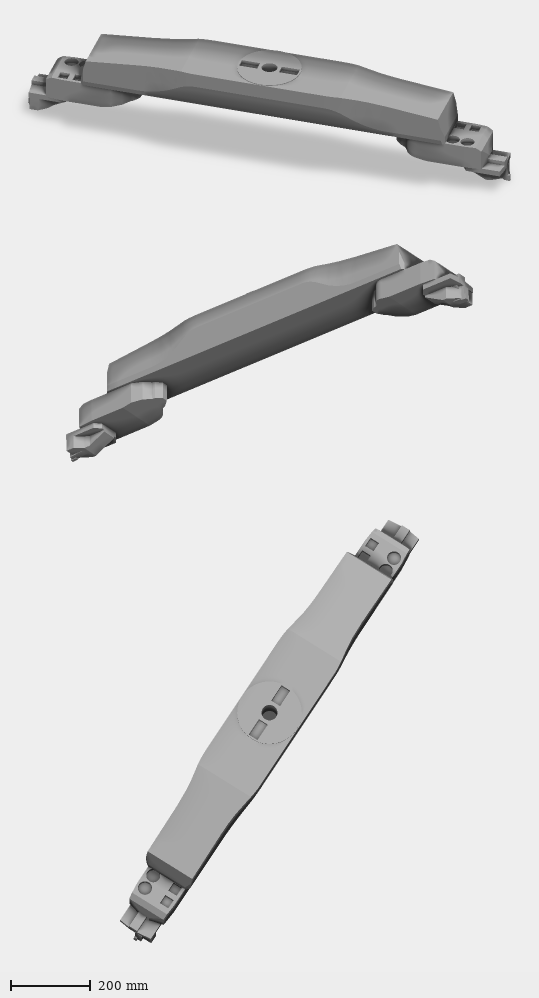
import cadquery as cq
import math


overall_length = 1259.97
overall_height = 219.83
bridge_width = 164.0
tip_x = overall_length / 2
tip_z = -overall_height

bridge_depth = 102.5
bridge_side_height = 39.0
bridge_base_width = 124.0
bridge_end_width = 132.8
bend_start_x = 168.5
bend_end_x = 326.0
bend_share = 1 / 3
ramp_start_x = 208.7
ramp_drop = 27.3
end_top_x = 461.5
end_base_x = 476.8
end_base_height = 19.5
corner_cut_x = 8.0
corner_cut_y = 11.0

spigot_diameter = 162.0
spigot_height = 2.0
bridge_top = -spigot_height
bore_diameter = 40.0
bore_depth = 60.0
key_slot_width = 26.0
key_slot_inner_x = 28.5
key_slot_outer_x = 76.0
key_slot_depth = 10.0

slide_top = -bridge_depth
slide_base = -164.0
slide_half_width = 54.8
slide_inner_x = 335.8
slide_neck_x = 400.0
slide_taper_start_x = 527.5
slide_taper_x = 536.0
slide_taper_y = 54.0
slide_corner_x = 570.0
slide_corner_y = 51.0
slide_nose_x = 583.0
slide_edge_x = 556.0
slide_brow_x = 571.0
slide_brow_drop = 9.0
slide_brow_z = slide_top - slide_brow_drop
slide_nose_z = -154.0
slide_ramp_x = 427.0
slide_inner_z = -148.0
neck_steps = ((373.0, 43.0), (356.0, 26.0), (349.0, 23.0))
neck_end_half_width = 8.0
bulge_mid = (382.0, -49.0)
bulge_end = (371.0, -36.0)
hollow_mid = (364.0, -27.0)
hollow_end = (353.0, -22.0)
neck_chamfer_start = (345.0, -16.0)

notch_inner_x = 560.0
notch_min_y = -18.0
notch_max_y = 13.5
notch_top = -144.5

pocket_x = (490.0, 528.5)
screw_pocket_diameter = 35.0
screw_pocket_y = -31.3
screw_pocket_depth = 14.0
square_pocket_size = 25.0
square_pocket_y = 34.0
square_pocket_depth = 12.0

plate_inner_x = 515.0
plate_inner_half_width = 28.0
plate_full_width_x = 530.0
plate_outer_x = 618.0
plate_crown = 4.0
plate_min_y = -47.5
plate_max_y = 43.5
plate_base = -178.5
rib_max_y = 5.5
rib_top = -152.0
body_base = -213.0
body_min_y = -21.0
body_max_y = 19.0
wedge_inner_z = -183.0
wedge_foot_x = 573.0
gullet_start_x = 583.0
gullet_roof_x = 610.0
gullet_roof_y = -13.0
gullet_roof_z = -190.5
shoulder_outer_x = 616.0
shoulder_inner_x = 594.0
shoulder_max_y = 43.5
shoulder_root_x = 561.0
shoulder_bend_y = 26.0
core_top_x = 622.0
core_base_x = 625.0
core_base = -217.0

insert_edge = 16.0
insert_thickness = 8.0
insert_relief = math.radians(5.0)
screw_diameter = 4.7
screw_length = 12.0


def prism_along_y(points, y_min, y_max):
    """Extrude an (x, z) outline from y_min to y_max."""
    plane = cq.Workplane("XZ", origin=(0, y_max, 0))
    return plane.polyline(points).close().extrude(y_max - y_min)


def prism_along_z(points, z_min, z_max):
    """Extrude an (x, y) outline from z_min to z_max."""
    plane = cq.Workplane("XY", origin=(0, 0, z_min))
    return plane.polyline(points).close().extrude(z_max - z_min)


def other_end(body):
    return body.rotate((0, 0, 0), (0, 0, 1), 180)


def block(x_min, x_max, y_min, y_max, z_min, z_max):
    size = (x_max - x_min, y_max - y_min, z_max - z_min)
    return cq.Workplane("XY").box(*size, centered=False).translate((x_min, y_min, z_min))


def bend_mid(x_tangent, y_tangent, run, rise):
    """Middle point of an arc that starts level and covers the given run and rise."""
    half_angle = math.atan2(abs(rise), abs(run))
    radius = (run ** 2 + rise ** 2) / (2 * abs(rise))
    dx = math.copysign(radius * math.sin(half_angle), run)
    dy = math.copysign(radius * (1 - math.cos(half_angle)), rise)
    return x_tangent + dx, y_tangent + dy


def make_bridge():
    half_wide = bridge_width / 2
    half_narrow = bridge_end_width / 2
    run = bend_end_x - bend_start_x
    drop = half_wide - half_narrow
    joint = (bend_start_x + bend_share * run, half_wide - bend_share * drop)
    convex_mid = bend_mid(bend_start_x, half_wide, bend_share * run, -bend_share * drop)
    concave_mid = bend_mid(
        bend_end_x, half_narrow, -(1 - bend_share) * run, (1 - bend_share) * drop
    )

    quarter_plan = (
        cq.Workplane("XY", origin=(0, 0, -bridge_depth))
        .moveTo(0, 0)
        .lineTo(0, half_wide)
        .lineTo(bend_start_x, half_wide)
        .threePointArc(convex_mid, joint)
        .threePointArc(concave_mid, (bend_end_x, half_narrow))
        .lineTo(end_base_x - corner_cut_x, half_narrow)
        .lineTo(end_base_x, half_narrow - corner_cut_y)
        .lineTo(end_base_x, 0)
        .close()
        .extrude(bridge_depth - spigot_height)
    )
    half_plan = quarter_plan.union(quarter_plan.mirror("XZ"))
    plan = half_plan.union(half_plan.mirror("YZ"))

    right_side = [
        (ramp_start_x, bridge_top),
        (end_top_x, -ramp_drop),
        (end_base_x, end_base_height - bridge_depth),
        (end_base_x, -bridge_depth),
    ]
    left_side = [(-x, z) for x, z in reversed(right_side)]
    side = prism_along_y(right_side + left_side, -half_wide, half_wide)

    half_base = bridge_base_width / 2
    section = (
        cq.Workplane("YZ", origin=(-end_base_x, 0, 0))
        .moveTo(-half_wide, bridge_top)
        .lineTo(half_wide, bridge_top)
        .lineTo(half_wide, -bridge_side_height)
        .lineTo(half_base, -bridge_depth)
        .lineTo(-half_base, -bridge_depth)
        .lineTo(-half_wide, -bridge_side_height)
        .close()
        .extrude(2 * end_base_x)
    )
    bridge = plan.intersect(side).intersect(section)

    spigot = cq.Workplane("XY").circle(spigot_diameter / 2).extrude(-spigot_height)
    bridge = bridge.union(spigot)
    bridge = bridge.cut(cq.Workplane("XY").circle(bore_diameter / 2).extrude(-bore_depth))
    half_slot = key_slot_width / 2
    slot = block(
        key_slot_inner_x, key_slot_outer_x, -half_slot, half_slot, -key_slot_depth, 0
    )
    return bridge.cut(slot).cut(other_end(slot))


def make_slide():
    plan = (
        cq.Workplane("XY", origin=(0, 0, slide_base))
        .moveTo(slide_nose_x, 0)
        .lineTo(slide_corner_x, slide_corner_y)
        .lineTo(slide_taper_x, slide_taper_y)
        .lineTo(slide_taper_start_x, slide_half_width)
        .lineTo(slide_neck_x, slide_half_width)
    )
    for neck_point in neck_steps:
        plan = plan.lineTo(*neck_point)
    plan = (
        plan.lineTo(slide_inner_x, neck_end_half_width)
        .lineTo(slide_inner_x, -neck_end_half_width)
        .lineTo(*neck_chamfer_start)
        .lineTo(*hollow_end)
        .threePointArc(hollow_mid, bulge_end)
        .threePointArc(bulge_mid, (slide_neck_x, -slide_half_width))
        .lineTo(slide_taper_start_x, -slide_half_width)
        .lineTo(slide_taper_x, -slide_taper_y)
        .lineTo(slide_corner_x, -slide_corner_y)
        .close()
        .extrude(slide_top - slide_base)
    )
    side = prism_along_y(
        [
            (slide_inner_x, slide_top),
            (slide_edge_x, slide_top),
            (slide_brow_x, slide_brow_z),
            (slide_nose_x, slide_nose_z),
            (slide_nose_x, slide_base),
            (slide_ramp_x, slide_base),
            (slide_inner_x, slide_inner_z),
        ],
        -slide_half_width,
        slide_half_width,
    )
    slide = plan.intersect(side)

    top = cq.Workplane("XY", origin=(0, 0, slide_top))
    round_pockets = (
        top.pushPoints([(x, screw_pocket_y) for x in pocket_x])
        .circle(screw_pocket_diameter / 2)
        .extrude(-screw_pocket_depth)
    )
    square_pockets = (
        top.pushPoints([(x, square_pocket_y) for x in pocket_x])
        .rect(square_pocket_size, square_pocket_size)
        .extrude(-square_pocket_depth)
    )
    notch = block(
        notch_inner_x, slide_nose_x, notch_min_y, notch_max_y, slide_base, notch_top
    )
    return slide.cut(round_pockets).cut(square_pockets).cut(notch)


def make_insert_blank():
    """Rhombic insert whose tip is the outermost and lowest point of the tool."""
    lean = insert_edge * math.sin(insert_relief)
    reach = insert_edge * math.cos(insert_relief)
    return prism_along_y(
        [
            (tip_x, tip_z),
            (tip_x - lean, tip_z + reach),
            (tip_x - lean - reach, tip_z + reach + lean),
            (tip_x - reach, tip_z + lean),
        ],
        0,
        insert_thickness,
    )


def make_screw():
    lean = insert_edge * math.sin(insert_relief)
    reach = insert_edge * math.cos(insert_relief)
    middle = (tip_x - (lean + reach) / 2, tip_z + (lean + reach) / 2)
    plane = cq.Workplane("XZ")
    return plane.center(*middle).circle(screw_diameter / 2).extrude(-screw_length)


def make_cartridge():
    plate = prism_along_z(
        [
            (plate_inner_x, -plate_inner_half_width),
            (plate_full_width_x, plate_min_y),
            (plate_outer_x, plate_min_y),
            (plate_outer_x + plate_crown, notch_min_y),
            (plate_outer_x + plate_crown, rib_max_y),
            (plate_outer_x, plate_max_y),
            (plate_full_width_x, plate_max_y),
            (plate_inner_x, plate_inner_half_width),
        ],
        plate_base,
        slide_base,
    )
    rib = block(
        notch_inner_x, plate_outer_x + plate_crown, notch_min_y, rib_max_y, slide_base, rib_top
    )

    body_plan = prism_along_z(
        [
            (plate_inner_x, body_min_y),
            (gullet_start_x, body_min_y),
            (shoulder_outer_x, 0),
            (shoulder_outer_x, shoulder_max_y),
            (shoulder_inner_x, shoulder_max_y),
            (wedge_foot_x, shoulder_bend_y),
            (shoulder_root_x, body_max_y),
            (plate_inner_x, body_max_y),
        ],
        body_base,
        plate_base,
    )
    body_side = prism_along_y(
        [
            (plate_inner_x, plate_base),
            (shoulder_outer_x, plate_base),
            (shoulder_outer_x, body_base),
            (wedge_foot_x, body_base),
            (plate_inner_x, wedge_inner_z),
        ],
        body_min_y,
        shoulder_max_y,
    )
    body = body_plan.intersect(body_side)

    core = prism_along_y(
        [
            (gullet_start_x, plate_base),
            (core_top_x, plate_base),
            (core_base_x, core_base),
            (gullet_start_x, body_base),
        ],
        0,
        body_max_y,
    )
    gullet_roof = (
        cq.Workplane("YZ", origin=(gullet_start_x, 0, 0))
        .polyline([(gullet_roof_y, plate_base), (0, gullet_roof_z), (0, plate_base)])
        .close()
        .extrude(gullet_roof_x - gullet_start_x)
    )
    return plate.union(rib).union(body).union(core).union(gullet_roof)


bridge = make_bridge()
slide = make_slide()
insert_blank = make_insert_blank()
screw = make_screw()
cartridge = make_cartridge().cut(slide).cut(insert_blank).cut(screw)
insert = insert_blank.cut(screw)

end_bodies = (slide, cartridge, insert, screw)
solids = [bridge.val()]
for body in end_bodies:
    solids.append(body.val())
    solids.append(other_end(body).val())

result = cq.Compound.makeCompound(solids)